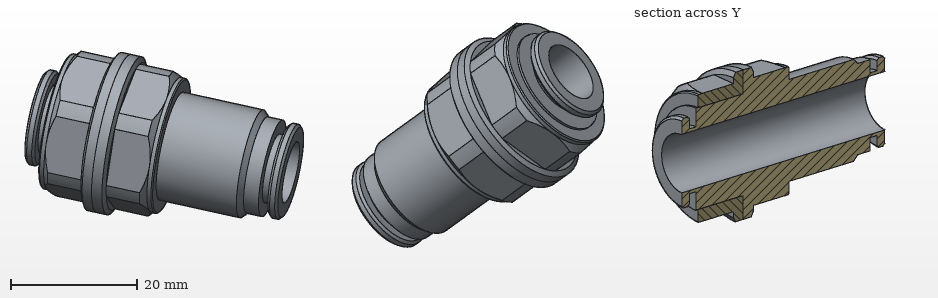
import cadquery as cq
import math

overall_length = 41.8
bore_radius = 4.97

collar_radius = 7.75
collar_width = 1.67
collar_chamfer = 0.4
neck_radius = 5.6

barrel_radius = 8.78
barrel_start = 2.93
barrel_end = 36.3
tip_radius = 7.85
barrel_chamfer = barrel_radius - tip_radius
tip_end = 38.75

hex_sides = 6
flats_width = 22.0
corner_radius = 12.0
flange_diameter = 25.7
flange_radius = flange_diameter / 2
flange_chamfer_length = 0.45
rim_radius = flats_width / 2
rim_chamfer = 0.2
rim_width = 0.88
hex_bevel_length = 0.9

nut_start = 3.3
nut_flange_start = 10.6
joint = 12.62
flange_end = 14.8
hex_end = 22.1


def turned(profile):
    """Solid of revolution about X from (station, radius) points."""
    return cq.Workplane("XY").polyline(profile).close().revolve(360, (0, 0, 0), (1, 0, 0))


def cylinder(start, end, radius):
    """Solid cylinder along X between two stations."""
    return cq.Workplane("YZ", origin=(start, 0, 0)).circle(radius).extrude(end - start)


def wrench_hexagon(flange_side, rim_face):
    """Hexagon with turned corners, a bevelled end and a round rim at rim_face."""
    outward = math.copysign(1, rim_face - flange_side)
    rim_base = rim_face - outward * rim_width
    bevel_base = rim_base - outward * hex_bevel_length
    envelope = turned([
        (flange_side, 0),
        (flange_side, corner_radius),
        (bevel_base, corner_radius),
        (rim_base, rim_radius),
        (rim_base, 0),
    ])
    across_corners = flats_width / math.cos(math.pi / hex_sides)
    prism = (
        cq.Workplane("YZ", origin=(flange_side, 0, 0))
        .polygon(hex_sides, across_corners)
        .extrude(rim_base - flange_side)
    )
    rim = turned([
        (rim_base, 0),
        (rim_base, rim_radius),
        (rim_face - outward * rim_chamfer, rim_radius),
        (rim_face, rim_radius - rim_chamfer),
        (rim_face, 0),
    ])
    return prism.intersect(envelope).union(rim)


def half_flange(outer_face):
    """Washer flange from the joint to outer_face, bevelled down to the hexagon corners."""
    outward = math.copysign(1, outer_face - joint)
    return turned([
        (joint, 0),
        (joint, flange_radius),
        (outer_face - outward * flange_chamfer_length, flange_radius),
        (outer_face, corner_radius),
        (outer_face, 0),
    ])


def release_collar(end_face, neck_end):
    """Collar with both edges bevelled, on a neck that reaches neck_end."""
    inward = math.copysign(1, neck_end - end_face)
    inner_face = end_face + inward * collar_width
    edge_radius = collar_radius - collar_chamfer
    return turned([
        (end_face, 0),
        (end_face, edge_radius),
        (end_face + inward * collar_chamfer, collar_radius),
        (inner_face - inward * collar_chamfer, collar_radius),
        (inner_face, edge_radius),
        (inner_face, neck_radius),
        (neck_end, neck_radius),
        (neck_end, 0),
    ])


def make_housing():
    """Barrel with its hexagon, half flange and both release collars, bored through."""
    barrel = turned([
        (barrel_start, 0),
        (barrel_start, barrel_radius),
        (barrel_end - barrel_chamfer, barrel_radius),
        (barrel_end, tip_radius),
        (tip_end, tip_radius),
        (tip_end, 0),
    ])
    return (
        barrel
        .union(half_flange(flange_end))
        .union(wrench_hexagon(flange_end, hex_end))
        .union(release_collar(0, barrel_start))
        .union(release_collar(overall_length, tip_end))
        .cut(cylinder(0, overall_length, bore_radius))
    )


def make_nut():
    """Nut whose half flange meets the one on the housing; it fits over the barrel."""
    return (
        half_flange(nut_flange_start)
        .union(wrench_hexagon(nut_flange_start, nut_start))
        .cut(cylinder(nut_start, joint, barrel_radius))
    )


housing = make_housing()
nut = make_nut()

result = cq.Compound.makeCompound([housing.val(), nut.val()])